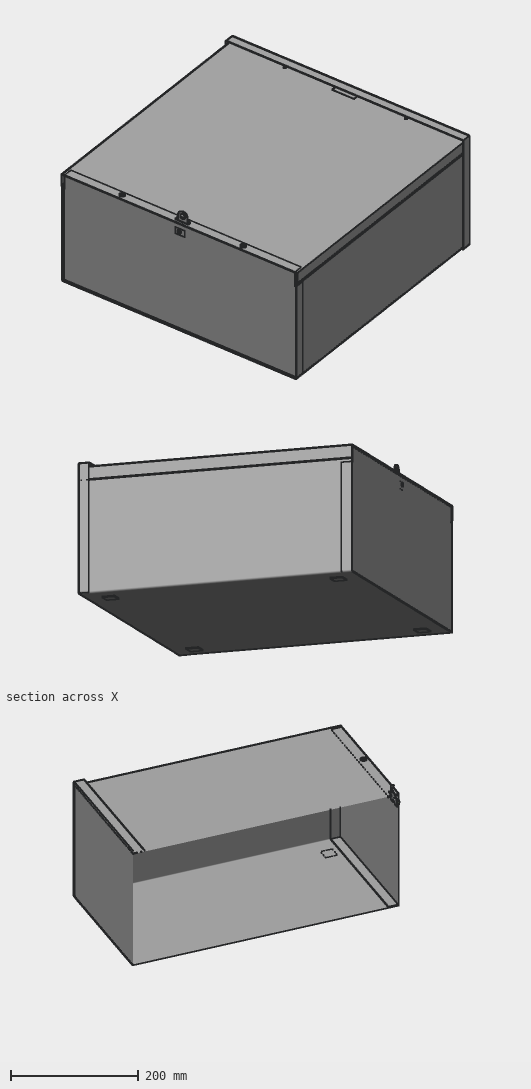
import cadquery as cq
import math

width = 465.0
depth = 459.5
height = 224.5
sheet = 1.55
bend_radius = 2.0
cover_radius = 3.0
rim_radius = 1.65
trough_radius = 3.3
cap_radius = 4.0
foot_height = 1.65
cap_clearance = 0.5

back_y = depth / 2
lock_head_height = 1.55
front_y = lock_head_height - depth / 2
bottom_z = foot_height
cap_top = 213.5
cover_top = 207.5
cover_bottom = 184.5
cap_half = width / 2 - sheet
cover_half = cap_half - cap_clearance
trough_half = cover_half - sheet
panel_half = trough_half - sheet
trough_top = 186.5
body_back = back_y - sheet

cap_lip = 17.5
panel_flange = 18.0
panel_flange_top = 180.0
panel_neck_half = 224.5
foot_size = 20.5
foot_x = 191.0
foot_back_y = 190.5
foot_front_y = -191.5

screw_x = 118.0
screw_y = -219.0
rear_hole_y = 215.0
cover_head_diameter = 9.8
shank_diameter = 4.33
shank_length = 7.0
cover_head_height = 2.1
socket_diameter = 4.0
socket_depth = cover_head_height / 2

hasp_width = 18.0
eye_radius = hasp_width / 2
eye_hole_diameter = 9.5
hasp_y = -219.0
hasp_leg_top = 196.0
hasp_leg_bottom = 183.5
hasp_slot_length = 25.5
hasp_slot_width = 6.0
lock_screw_z = 191.5
lock_head_diameter = 7.0
lock_shank_length = 2 * sheet

catch_width = 43.0
catch_overhang = 3.5
catch_thickness = 0.5


def block(x_min, x_max, y_min, y_max, z_min, z_max):
    """Box given by its limits."""
    return cq.Workplane("XY").box(
        x_max - x_min, y_max - y_min, z_max - z_min, centered=False
    ).translate((x_min, y_min, z_min))


def mirrored_block(half, y_min, y_max, z_min, z_max):
    """Box that is symmetric about the YZ plane."""
    return block(-half, half, y_min, y_max, z_min, z_max)


def rod(axis_plane, origin, diameter, length):
    """Cylinder from an origin along the normal of a plane."""
    return cq.Workplane(axis_plane, origin=origin).circle(diameter / 2).extrude(length)


def make_trough():
    """Bottom and two sides in one bent sheet, with four pressed foot pads."""
    outer = mirrored_block(trough_half, front_y, body_back, bottom_z, trough_top)
    outer = outer.edges("|Y and <Z").fillet(trough_radius)
    inner = mirrored_block(panel_half, front_y, body_back, bottom_z + sheet, trough_top)
    inner = inner.edges("|Y and <Z").fillet(trough_radius - sheet)
    trough = outer.cut(inner)
    for x in (-foot_x, foot_x):
        for y in (foot_front_y, foot_back_y):
            pad = cq.Workplane("XY", origin=(x, y, 0)).rect(foot_size, foot_size).extrude(foot_height)
            trough = trough.union(pad)
    return trough


def make_end_cap():
    """Back plate with a forward lip over the top and both sides."""
    cap = mirrored_block(width / 2, back_y - cap_lip, back_y, bottom_z, cap_top)
    cap = cap.edges("|Y").fillet(cap_radius)
    cap = cap.edges(">Y").edges("not <Z").fillet(rim_radius)
    opening = mirrored_block(cap_half, back_y - cap_lip, body_back, bottom_z, cap_top - sheet)
    return cap.cut(opening)


def make_front_panel():
    """Front wall with flanges turned back inside the trough and under the cover."""
    floor = bottom_z + sheet
    top = cover_top - sheet
    rear = front_y + panel_flange
    panel = mirrored_block(panel_half, front_y, rear, floor, top)
    panel = panel.edges("|Y and <Z").fillet(bend_radius)
    panel = panel.edges("<Y").fillet(rim_radius)
    inner = mirrored_block(panel_half - sheet, front_y + sheet, rear, floor + sheet, top - sheet)
    panel = panel.cut(inner)
    for side in (-1, 1):
        x_min, x_max = sorted((side * panel_neck_half, side * width / 2))
        panel = panel.cut(block(x_min, x_max, front_y, rear, panel_flange_top, top))
    panel = panel.cut(rod("XZ", (0, front_y + sheet, lock_screw_z), shank_diameter, sheet))
    for x in (-screw_x, screw_x):
        panel = panel.cut(rod("XY", (x, screw_y, top - sheet), shank_diameter, sheet))
    return panel.cut(hasp_slot(top - sheet))


def hasp_slot(z_min):
    """Cutter for the slot that the padlock eye rises through."""
    y_min = hasp_y - hasp_slot_width / 2
    return mirrored_block(hasp_slot_length / 2, y_min, y_min + hasp_slot_width, z_min, cover_top)


def make_cover():
    """Flat lid with a flange down each side."""
    cover = mirrored_block(cover_half, front_y, body_back, cover_bottom, cover_top)
    cover = cover.edges("|Y and >Z").fillet(cover_radius)
    cover = cover.cut(mirrored_block(trough_half, front_y, body_back, cover_bottom, cover_top - sheet))
    for x in (-screw_x, screw_x):
        for y in (screw_y, rear_hole_y):
            cover = cover.cut(rod("XY", (x, y, cover_top - sheet), shank_diameter, sheet))
    return cover.cut(hasp_slot(cover_top - sheet))


def make_hasp():
    """Leg against the front panel, a shelf, and an upright plate with a round padlock eye."""
    leg_front = front_y + sheet
    plate_front = hasp_y - sheet / 2
    plate_back = hasp_y + sheet / 2
    eye_z = height - eye_radius
    leg = mirrored_block(eye_radius, leg_front, leg_front + sheet, hasp_leg_bottom, hasp_leg_top)
    shelf = mirrored_block(eye_radius, leg_front, plate_back, hasp_leg_top - sheet, hasp_leg_top)
    upright = mirrored_block(eye_radius, plate_front, plate_back, hasp_leg_top - sheet, eye_z)
    eye = rod("XZ", (0, plate_back, eye_z), 2 * eye_radius, sheet)
    hasp = leg.union(shelf).union(upright).union(eye)
    hasp = hasp.cut(rod("XZ", (0, plate_back, eye_z), eye_hole_diameter, sheet))
    return hasp.cut(rod("XZ", (0, leg_front + sheet, lock_screw_z), shank_diameter, sheet))


def make_screw(head_diameter, head_height, stem_length):
    """Domed screw standing on Z = 0 with its shank pointing down."""
    radius = head_diameter / 2
    rim = head_height / 2
    dome_rise = head_height - rim
    dome_radius = (radius**2 + dome_rise**2) / (2 * dome_rise)
    middle = radius / 2
    middle_z = head_height - dome_radius + math.sqrt(dome_radius**2 - middle**2)
    head = (
        cq.Workplane("XZ")
        .lineTo(radius, 0)
        .lineTo(radius, rim)
        .threePointArc((middle, middle_z), (0, head_height))
        .close()
        .revolve(360, (0, 0, 0), (0, 1, 0))
    )
    shank = rod("XY", (0, 0, -stem_length), shank_diameter, stem_length)
    return head.union(shank)


def make_cover_screw():
    """Domed screw with a round drive socket."""
    screw = make_screw(cover_head_diameter, cover_head_height, shank_length)
    socket_floor = cover_head_height - socket_depth
    return screw.cut(rod("XY", (0, 0, socket_floor), socket_diameter, socket_depth))


def make_catch_plate():
    """Thin plate on the cover, reaching out from below the cap lip."""
    front = back_y - cap_lip - catch_overhang
    return mirrored_block(catch_width / 2, front, body_back, cover_top, cover_top + catch_thickness)


trough = make_trough()
end_cap = make_end_cap()
front_panel = make_front_panel()
cover = make_cover()
hasp = make_hasp()
catch_plate = make_catch_plate()

lock_screw = (
    make_screw(lock_head_diameter, lock_head_height, lock_shank_length)
    .rotate((0, 0, 0), (1, 0, 0), 90)
    .translate((0, front_y, lock_screw_z))
)
cover_screws = [
    make_cover_screw().translate((x, screw_y, cover_top))
    for x in (-screw_x, screw_x)
]

bodies = [trough, end_cap, front_panel, cover, hasp, catch_plate, lock_screw, *cover_screws]
result = cq.Compound.makeCompound([body.val() for body in bodies])